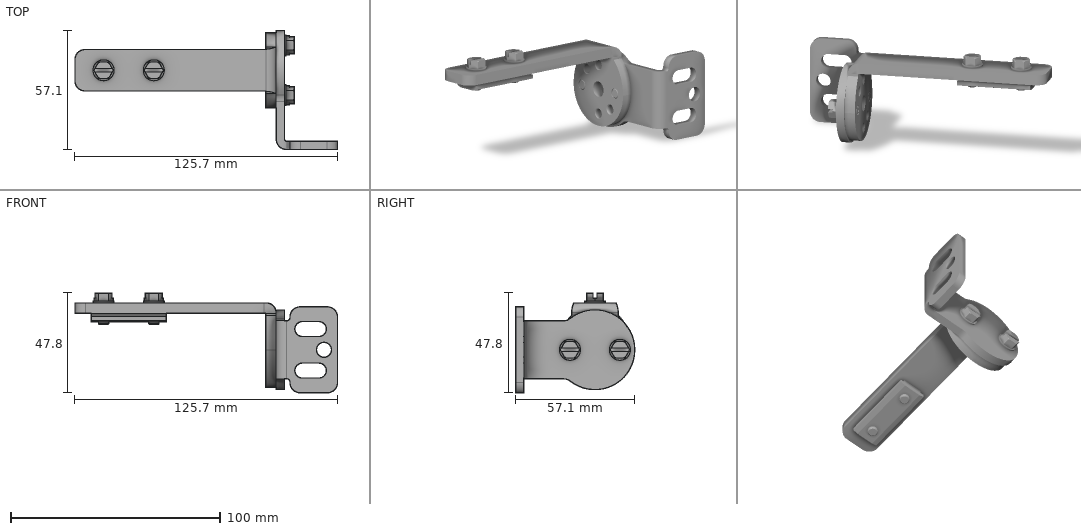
import cadquery as cq
import math


arm_thickness = 5.0
arm_length = 96.3
arm_width = 20.0
arm_end_radius = 5.0
arm_bend_radius = 4.8
arm_top = 22.5
arm_bottom = arm_top - arm_thickness
flare_length = 5.8
bend_half_width = 11.2
disc_radius = 18.0
disc_shoulder_height = 16.5
pivot_diameter = 7.5

hole_circle_radius = 12.0
tapped_diameter = 4.3
tapped_chamfer = 0.4
open_hole_angles = (45, 90, 225, 270)
disc_bolt_angles = (0, 180)

bracket_thickness = 4.0
head_radius = 19.1
neck_half_width = 14.0
neck_fillet = 5.0
bend_inner_radius = 1.0
bend_outer_radius = bend_inner_radius + bracket_thickness
flange_face_y = -38.0
flange_start_x = 6.5
flange_end_x = 29.4
flange_half_height = 20.6
flange_corner_radius = 5.0
flange_neck_fillet = 1.4
slot_width = 7.0
slot_length = 15.0
slot_center_x = 16.5
slot_offset_z = 9.9
flange_hole_x = 22.9
flange_hole_diameter = slot_width

clamp_length = 36.0
clamp_base_width = 14.0
clamp_neck_width = 9.9
clamp_neck_height = 1.5
clamp_height = 4.2
clamp_chamfer_height = 0.8
clamp_chamfer_width = 2.5

shank_diameter = 5.0
shank_chamfer = 0.5
collar_diameter = 10.0
collar_height = 0.8
hex_across_flats = 8.0
head_height = 4.7
head_chamfer = 0.4
driver_slot_width = 1.8
driver_slot_depth = 2.4
clamp_bolt_length = 10.5
clamp_bolt_spacing = 24.0
clamp_center_x = -70.5
disc_bolt_length = arm_thickness + bracket_thickness

select_margin = 0.1

clamp_bolt_xs = [clamp_center_x + side * clamp_bolt_spacing / 2 for side in (-1, 1)]


def on_hole_circle(angle):
    """(Y, Z) of a place on the ring of holes, with the angle measured from +Y."""
    a = math.radians(angle)
    return hole_circle_radius * math.cos(a), hole_circle_radius * math.sin(a)


def make_bolt(shank_length):
    """Bolt along +Z with the underside of its collar at the origin and its driver slot along X."""
    hex_corner_diameter = hex_across_flats / math.cos(math.pi / 6)
    hexagon = cq.Workplane("XY").polygon(6, hex_corner_diameter).extrude(head_height)
    crown = cq.Workplane("XY").circle(hex_corner_diameter / 2).extrude(head_height)
    crown = crown.faces(">Z").chamfer(head_chamfer)
    collar = cq.Workplane("XY").circle(collar_diameter / 2).extrude(collar_height)
    shank = cq.Workplane("XY").circle(shank_diameter / 2).extrude(-shank_length)
    shank = shank.faces("<Z").chamfer(shank_chamfer)
    driver_slot = (
        cq.Workplane("XY")
        .workplane(offset=head_height - driver_slot_depth)
        .rect(2 * hex_corner_diameter, driver_slot_width)
        .extrude(driver_slot_depth)
    )
    return hexagon.intersect(crown).union(collar).union(shank).cut(driver_slot)


def make_strap():
    """Flat strap with a rounded free end and sides that flare out towards the bend."""
    half = arm_width / 2
    flare = bend_half_width - half
    flare_radius = (flare_length**2 + flare**2) / (2 * flare)
    strap = (
        cq.Workplane("XY")
        .workplane(offset=arm_bottom)
        .moveTo(-arm_length, -half)
        .lineTo(-flare_length, -half)
        .radiusArc((0, -bend_half_width), flare_radius)
        .lineTo(0, bend_half_width)
        .radiusArc((-flare_length, half), flare_radius)
        .lineTo(-arm_length, half)
        .close()
        .extrude(arm_thickness)
    )
    strap = strap.edges("|Z and <X").fillet(arm_end_radius)
    return strap.edges(">X and >Z").fillet(arm_bend_radius)


def make_arm_disc():
    """Plate with a half-round bottom and flatter arcs that rise to the width of the bend."""
    inset = disc_radius - bend_half_width
    side_radius = (inset**2 + disc_shoulder_height**2) / (2 * inset)
    return (
        cq.Workplane("YZ")
        .moveTo(-disc_radius, 0)
        .threePointArc((0, -disc_radius), (disc_radius, 0))
        .radiusArc((bend_half_width, disc_shoulder_height), -side_radius)
        .lineTo(bend_half_width, arm_bottom)
        .lineTo(-bend_half_width, arm_bottom)
        .lineTo(-bend_half_width, disc_shoulder_height)
        .radiusArc((-disc_radius, 0), -side_radius)
        .close()
        .extrude(-arm_thickness)
    )


def make_arm():
    arm = make_strap().union(make_arm_disc())

    arm = arm.cut(cq.Workplane("YZ").circle(pivot_diameter / 2).extrude(-arm_thickness))

    tapped = cq.Workplane("YZ").circle(tapped_diameter / 2).extrude(-arm_thickness)
    countersink = cq.Workplane(
        cq.Solid.makeCone(
            tapped_diameter / 2 + tapped_chamfer,
            tapped_diameter / 2,
            tapped_chamfer,
            pnt=cq.Vector(-arm_thickness, 0, 0),
            dir=cq.Vector(1, 0, 0),
        )
    )
    for angle in open_hole_angles:
        y, z = on_hole_circle(angle)
        arm = arm.cut(tapped.union(countersink).translate((0, y, z)))

    disc_bolt_points = [on_hole_circle(angle) for angle in disc_bolt_angles]
    arm = arm.cut(
        cq.Workplane("YZ").pushPoints(disc_bolt_points).circle(shank_diameter / 2).extrude(-arm_thickness)
    )
    return arm.cut(
        cq.Workplane("XY")
        .workplane(offset=arm_bottom)
        .pushPoints([(x, 0) for x in clamp_bolt_xs])
        .circle(shank_diameter / 2)
        .extrude(arm_thickness)
    )


def make_bracket_head():
    """Round head that runs into the neck through concave fillets, down to the start of the bend."""
    neck_end_y = flange_face_y + bend_outer_radius
    neck = (
        cq.Workplane("YZ")
        .moveTo(neck_end_y, -neck_half_width)
        .lineTo(0, -neck_half_width)
        .lineTo(0, neck_half_width)
        .lineTo(neck_end_y, neck_half_width)
        .close()
        .extrude(bracket_thickness)
    )
    head = cq.Workplane("YZ").circle(head_radius).extrude(bracket_thickness).union(neck)
    corner_y = -math.sqrt(head_radius**2 - neck_half_width**2)
    corners = cq.selectors.BoxSelector(
        (-select_margin, corner_y - select_margin, -neck_half_width - select_margin),
        (bracket_thickness + select_margin, corner_y + select_margin, neck_half_width + select_margin),
    )
    head = head.edges("|X").edges(corners).fillet(neck_fillet)
    bolt_points = [on_hole_circle(angle) for angle in disc_bolt_angles]
    return head.cut(
        cq.Workplane("YZ").pushPoints(bolt_points).circle(shank_diameter / 2).extrude(bracket_thickness)
    )


def make_bracket_bend():
    """Quarter-round bend between the neck and the flange."""
    center_x = bend_outer_radius
    center_y = flange_face_y + bend_outer_radius
    diagonal = math.sqrt(0.5)
    return (
        cq.Workplane("XY")
        .workplane(offset=-neck_half_width)
        .moveTo(0, center_y)
        .threePointArc(
            (center_x - bend_outer_radius * diagonal, center_y - bend_outer_radius * diagonal),
            (center_x, flange_face_y),
        )
        .lineTo(center_x, flange_face_y + bracket_thickness)
        .threePointArc(
            (center_x - bend_inner_radius * diagonal, center_y - bend_inner_radius * diagonal),
            (bracket_thickness, center_y),
        )
        .close()
        .extrude(2 * neck_half_width)
    )


def make_flange():
    """Rounded flange plate with two slots and a hole, joined to the bend by a filleted neck."""
    plate = (
        cq.Workplane("XZ", origin=(0, flange_face_y, 0))
        .moveTo((flange_start_x + flange_end_x) / 2, 0)
        .rect(flange_end_x - flange_start_x, 2 * flange_half_height)
        .extrude(-bracket_thickness)
        .edges("|Y")
        .fillet(flange_corner_radius)
    )
    neck = (
        cq.Workplane("XY")
        .box(
            flange_start_x + flange_corner_radius - bend_outer_radius,
            bracket_thickness,
            2 * neck_half_width,
            centered=(False, False, True),
        )
        .translate((bend_outer_radius, flange_face_y, 0))
    )
    corners = cq.selectors.BoxSelector(
        (flange_start_x - select_margin, flange_face_y, -neck_half_width - select_margin),
        (flange_start_x + select_margin, flange_face_y + bracket_thickness, neck_half_width + select_margin),
    )
    flange = plate.union(neck).edges("|Y").edges(corners).fillet(flange_neck_fillet)
    openings = (
        cq.Workplane("XZ", origin=(0, flange_face_y, 0))
        .pushPoints([(slot_center_x, slot_offset_z), (slot_center_x, -slot_offset_z)])
        .slot2D(slot_length, slot_width)
        .extrude(-bracket_thickness)
    )
    hole = (
        cq.Workplane("XZ", origin=(flange_hole_x, flange_face_y, 0))
        .circle(flange_hole_diameter / 2)
        .extrude(-bracket_thickness)
    )
    return flange.cut(openings).cut(hole)


def make_bracket():
    return make_bracket_head().union(make_bracket_bend()).union(make_flange())


def make_clamp_plate():
    """T-shaped bar with its neck against the strap and its lower long edges bevelled."""
    base = clamp_base_width / 2
    neck = clamp_neck_width / 2
    ledge_z = -clamp_neck_height
    bevel_z = clamp_chamfer_height - clamp_height
    half_profile = [
        (neck, 0),
        (neck, ledge_z),
        (base, ledge_z),
        (base, bevel_z),
        (base - clamp_chamfer_width, -clamp_height),
    ]
    mirrored = [(-y, z) for y, z in reversed(half_profile)]
    bar = (
        cq.Workplane("YZ")
        .polyline(half_profile + mirrored)
        .close()
        .extrude(clamp_length / 2, both=True)
        .translate((clamp_center_x, 0, arm_bottom))
    )
    bolt_holes = (
        cq.Workplane("XY")
        .workplane(offset=arm_bottom)
        .pushPoints([(x, 0) for x in clamp_bolt_xs])
        .circle(shank_diameter / 2)
        .extrude(-clamp_height)
    )
    return bar.cut(bolt_holes)


def make_clamp_bolts():
    """Bolts that hold the clamp plate, heads on top of the strap."""
    bolt = make_bolt(clamp_bolt_length)
    return [bolt.translate((x, 0, arm_top)) for x in clamp_bolt_xs]


def make_disc_bolts():
    """Bolts that join the bracket to the arm disc, heads on the bracket and slots along Y."""
    bolt = make_bolt(disc_bolt_length)
    bolt = bolt.rotate((0, 0, 0), (0, 0, 1), 90).rotate((0, 0, 0), (0, 1, 0), 90)
    return [bolt.translate((bracket_thickness, *on_hole_circle(angle))) for angle in disc_bolt_angles]


arm = make_arm()
bracket = make_bracket()
clamp_plate = make_clamp_plate()
clamp_bolts = make_clamp_bolts()
disc_bolts = make_disc_bolts()

bolt_solids = [bolt.solids().val() for bolt in clamp_bolts + disc_bolts]
plate_solids = [plate.solids().val() for plate in (arm, bracket, clamp_plate)]
result = cq.Compound.makeCompound([*plate_solids, *bolt_solids])